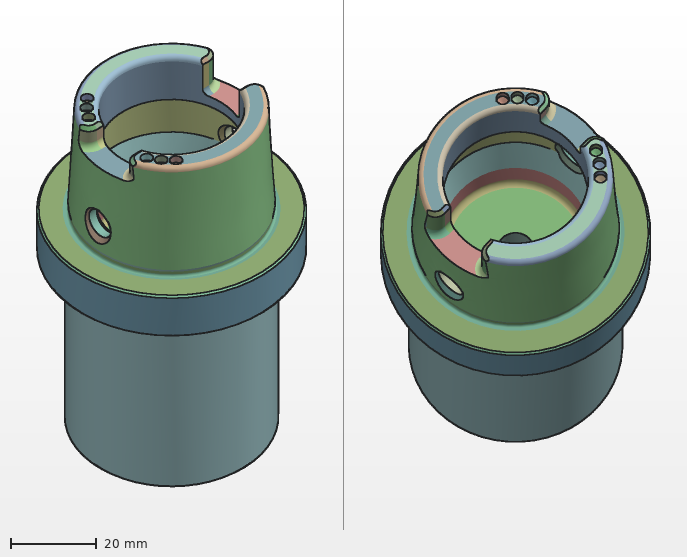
import cadquery as cq
import math

FLANGE_DIA = 63.0
FLANGE_THICKNESS = 12.5
FLANGE_CHAMFER = 0.5
BODY_DIA = 50.0
BODY_BOTTOM = -65.0
BODY_CHAMFER = 1.0
BODY_ROOT_FILLET = 2.0

SHANK_HEIGHT = 32.0
GAUGE_DIA = 48.01
GAUGE_HEIGHT = 6.3
TAPER_RATIO = 0.1
RIM_FILLET = 1.3

UNDERCUT_DIA = 48.14
UNDERCUT_FILLET = 0.6
UNDERCUT_DEPTH = 0.1
UNDERCUT_STRAIGHT_TOP = 1.25
UNDERCUT_TOP = 1.9
UNDERCUT_FACE_DIA = 50.9

BORE_DIA = 34.0
BORE_MOUTH_FILLET = 1.3
CHAMBER_TOP = 19.0
CHAMBER_DIA = 40.0
CHAMBER_SHOULDER_ANGLE = 30.0
CHAMBER_BOTTOM = 6.4
CHAMBER_FLANK_ANGLE = 18.0
LOWER_BORE_DIA = 34.5
BORE_FLOOR = -10.0
BORE_FLOOR_FILLET = 1.5
COOLANT_HOLE_DIA = 8.4

SLOT_WIDTH = 12.54
SLOT_FLARE_RADIUS = 3.0
SLOT_FLARE_START = 17.9
SLOT_FLOOR_FILLET = 1.6
SLOT_EDGE_CHAMFER = 1.0
FRONT_SLOT_DEPTH = 6.0
REAR_SLOT_DEPTH = 10.0

CROSS_HOLE_DIA = 7.5
CROSS_HOLE_HEIGHT = 8.9
CROSS_HOLE_SINK_DIA = 9.5
CROSS_HOLE_INNER_SINK_DIA = 8.4
SINK_OVERRUN = 1.0

DIMPLE_DIA = 3.0
DIMPLE_DEPTH = 2.0
DIMPLE_TIP_ANGLE = 118.0
DIMPLE_CIRCLE_RADIUS = 19.85
DIMPLE_ANGLES = (-40, -50, -60, -120, -130, -140)


def taper_radius(z):
    return (GAUGE_DIA + TAPER_RATIO * (GAUGE_HEIGHT - z)) / 2


def make_body():
    """Revolved outside of the part."""
    body_r = BODY_DIA / 2
    flange_r = FLANGE_DIA / 2
    root_r = UNDERCUT_DIA / 2
    flange_bottom = -FLANGE_THICKNESS
    diagonal = math.sqrt(0.5)
    root_x = root_r + UNDERCUT_FILLET
    root_z = UNDERCUT_FILLET - UNDERCUT_DEPTH
    fillet_x = body_r + BODY_ROOT_FILLET
    fillet_z = flange_bottom - BODY_ROOT_FILLET
    outline = (
        cq.Workplane("XZ")
        .moveTo(0, BODY_BOTTOM)
        .lineTo(body_r - BODY_CHAMFER, BODY_BOTTOM)
        .lineTo(body_r, BODY_BOTTOM + BODY_CHAMFER)
        .lineTo(body_r, fillet_z)
        .threePointArc(
            (fillet_x - BODY_ROOT_FILLET * diagonal, fillet_z + BODY_ROOT_FILLET * diagonal),
            (fillet_x, flange_bottom),
        )
        .lineTo(flange_r - FLANGE_CHAMFER, flange_bottom)
        .lineTo(flange_r, flange_bottom + FLANGE_CHAMFER)
        .lineTo(flange_r, -FLANGE_CHAMFER)
        .lineTo(flange_r - FLANGE_CHAMFER, 0)
        .lineTo(UNDERCUT_FACE_DIA / 2, 0)
        .lineTo(root_x, -UNDERCUT_DEPTH)
        .threePointArc(
            (root_x - UNDERCUT_FILLET * diagonal, root_z - UNDERCUT_FILLET * diagonal),
            (root_r, root_z),
        )
        .lineTo(root_r, UNDERCUT_STRAIGHT_TOP)
        .lineTo(taper_radius(UNDERCUT_TOP), UNDERCUT_TOP)
        .lineTo(taper_radius(SHANK_HEIGHT), SHANK_HEIGHT)
        .lineTo(0, SHANK_HEIGHT)
        .close()
    )
    return outline.revolve(360, (0, 0), (0, 1)).faces(">Z").edges().fillet(RIM_FILLET)


def make_bore():
    """Bore with a rounded mouth and floor, a wider chamber between, and the coolant hole."""
    bore_r = BORE_DIA / 2
    hole_r = COOLANT_HOLE_DIA / 2
    chamber_r = CHAMBER_DIA / 2
    lower_r = LOWER_BORE_DIA / 2
    floor_r = lower_r - BORE_FLOOR_FILLET
    shoulder_drop = (chamber_r - bore_r) * math.tan(math.radians(CHAMBER_SHOULDER_ANGLE))
    flank_drop = (chamber_r - lower_r) / math.tan(math.radians(CHAMBER_FLANK_ANGLE))
    diagonal = math.sqrt(0.5)
    mouth_r = bore_r + BORE_MOUTH_FILLET
    mouth_z = SHANK_HEIGHT - BORE_MOUTH_FILLET
    return (
        cq.Workplane("XZ")
        .moveTo(0, BODY_BOTTOM)
        .lineTo(hole_r, BODY_BOTTOM)
        .lineTo(hole_r, BORE_FLOOR)
        .lineTo(floor_r, BORE_FLOOR)
        .threePointArc(
            (
                floor_r + BORE_FLOOR_FILLET * diagonal,
                BORE_FLOOR + BORE_FLOOR_FILLET * (1 - diagonal),
            ),
            (lower_r, BORE_FLOOR + BORE_FLOOR_FILLET),
        )
        .lineTo(lower_r, CHAMBER_BOTTOM - flank_drop)
        .lineTo(chamber_r, CHAMBER_BOTTOM)
        .lineTo(chamber_r, CHAMBER_TOP - shoulder_drop)
        .lineTo(bore_r, CHAMBER_TOP)
        .lineTo(bore_r, mouth_z)
        .threePointArc(
            (
                mouth_r - BORE_MOUTH_FILLET * diagonal,
                mouth_z + BORE_MOUTH_FILLET * diagonal,
            ),
            (mouth_r, SHANK_HEIGHT),
        )
        .lineTo(0, SHANK_HEIGHT)
        .close()
        .revolve(360, (0, 0), (0, 1))
    )


def slot_outline(z):
    """Plan of a slot on the +Y side: parallel walls that flare outward on arcs."""
    half = SLOT_WIDTH / 2
    r = SLOT_FLARE_RADIUS
    flare_x = half + r
    flare_y = SLOT_FLARE_START + r
    arc_x = flare_x - r * math.sqrt(0.5)
    arc_y = SLOT_FLARE_START + r * math.sqrt(0.5)
    far = FLANGE_DIA / 2
    return (
        cq.Workplane("XY", origin=(0, 0, z))
        .moveTo(half, 0)
        .lineTo(half, SLOT_FLARE_START)
        .threePointArc((arc_x, arc_y), (flare_x, flare_y))
        .lineTo(far, flare_y)
        .lineTo(far, far)
        .lineTo(-far, far)
        .lineTo(-far, flare_y)
        .lineTo(-flare_x, flare_y)
        .threePointArc((-arc_x, arc_y), (-half, SLOT_FLARE_START))
        .lineTo(-half, 0)
        .close()
    )


def make_slot(depth):
    """Slot on the +Y side with a rounded floor and a chamfered mouth."""
    slot = slot_outline(SHANK_HEIGHT - depth).extrude(depth)
    slot = slot.faces("<Z").edges("not(<Y or >Y or <X or >X)").fillet(SLOT_FLOOR_FILLET)
    mouth = slot_outline(SHANK_HEIGHT - SLOT_EDGE_CHAMFER).extrude(SLOT_EDGE_CHAMFER, taper=-45)
    return slot.union(mouth)


def make_cross_hole():
    """Through hole along Y, countersunk where it meets the taper and the bore chamber."""
    hole_r = CROSS_HOLE_DIA / 2
    sink_r = CROSS_HOLE_SINK_DIA / 2
    end = taper_radius(CROSS_HOLE_HEIGHT)
    inner_sink_r = CROSS_HOLE_INNER_SINK_DIA / 2
    inner_end = CHAMBER_DIA / 2
    inner_sink_start = inner_end + inner_sink_r - hole_r
    sink_start = end - (sink_r - hole_r)
    half_hole = (
        cq.Workplane("XY")
        .lineTo(inner_sink_r + SINK_OVERRUN, 0)
        .lineTo(inner_sink_r + SINK_OVERRUN, inner_end - SINK_OVERRUN)
        .lineTo(hole_r, inner_sink_start)
        .lineTo(hole_r, sink_start)
        .lineTo(sink_r + SINK_OVERRUN, end + SINK_OVERRUN)
        .lineTo(0, end + SINK_OVERRUN)
        .close()
        .revolve(360, (0, 0), (0, 1))
    )
    return half_hole.union(half_hole.mirror("XZ")).translate((0, 0, CROSS_HOLE_HEIGHT))


def make_dimple(angle):
    r = DIMPLE_DIA / 2
    tip = r / math.tan(math.radians(DIMPLE_TIP_ANGLE / 2))
    return (
        cq.Workplane("XZ")
        .lineTo(r, tip)
        .lineTo(r, tip + DIMPLE_DEPTH)
        .lineTo(0, tip + DIMPLE_DEPTH)
        .close()
        .revolve(360, (0, 0), (0, 1))
        .translate((DIMPLE_CIRCLE_RADIUS, 0, SHANK_HEIGHT - DIMPLE_DEPTH - tip))
        .rotate((0, 0, 0), (0, 0, 1), angle)
    )


result = make_body().cut(make_bore())
result = result.cut(make_slot(REAR_SLOT_DEPTH))
result = result.cut(make_slot(FRONT_SLOT_DEPTH).rotate((0, 0, 0), (0, 0, 1), 180))
result = result.cut(make_cross_hole())
for angle in DIMPLE_ANGLES:
    result = result.cut(make_dimple(angle))